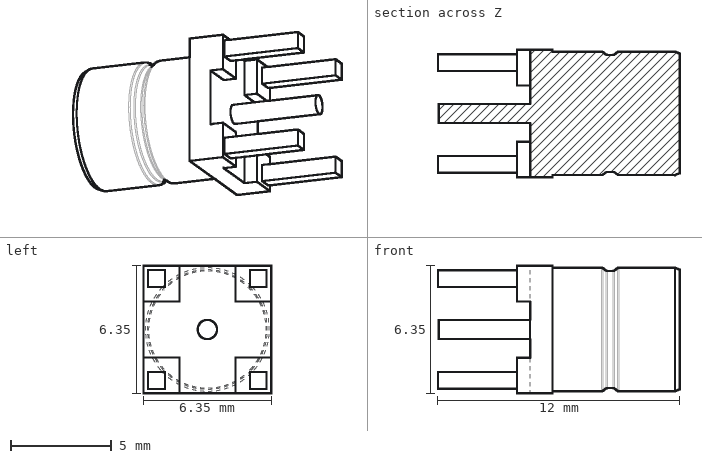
import cadquery as cq
import math

base_side = 6.35
base_thickness = 1.77
foot_side = 1.785
foot_height = 0.66

pin_length = 3.92
pin_side = 0.84
pin_edge_inset = 0.23

contact_diameter = 0.96
contact_setback = 0.04

overall_length = 12.01
barrel_diameter = 6.15
end_chamfer_length = 0.24
end_chamfer_drop = 0.10

groove_center_from_end = 3.455
groove_floor_width = 0.28
groove_depth = 0.16
groove_wall_angle = 37
groove_blend_radius = 0.127

foot_face_x = pin_length
recess_face_x = foot_face_x + foot_height
barrel_start_x = foot_face_x + base_thickness
groove_center_x = overall_length - groove_center_from_end
barrel_radius = barrel_diameter / 2

foot_offset = (base_side - foot_side) / 2
pin_offset = base_side / 2 - pin_edge_inset - pin_side / 2


def square_bar(side, start_x, end_x, y=0, z=0):
    """Square bar along X, centred on (y, z)."""
    length = end_x - start_x
    return cq.Workplane("XY").box(length, side, side).translate((start_x + length / 2, y, z))


def make_base():
    base = square_bar(base_side, recess_face_x, barrel_start_x)
    for y_side in (-1, 1):
        for z_side in (-1, 1):
            foot_y = y_side * foot_offset
            foot_z = z_side * foot_offset
            pin_y = y_side * pin_offset
            pin_z = z_side * pin_offset
            foot = square_bar(foot_side, foot_face_x, recess_face_x, foot_y, foot_z)
            pin = square_bar(pin_side, 0, foot_face_x, pin_y, pin_z)
            base = base.union(foot).union(pin)
    return base


def make_contact():
    length = recess_face_x - contact_setback
    contact = cq.Workplane("YZ").circle(contact_diameter / 2).extrude(length)
    return contact.translate((contact_setback, 0, 0))


def make_groove_cutter():
    """Ring that cuts the snap groove; each wall rolls over in an arc at the rim and at the floor."""
    angle = math.radians(groove_wall_angle)
    blend_length = groove_blend_radius * math.sin(angle)
    blend_drop = groove_blend_radius * (1 - math.cos(angle))
    mid_length = groove_blend_radius * math.sin(angle / 2)
    mid_drop = groove_blend_radius * (1 - math.cos(angle / 2))
    wall_length = (groove_depth - 2 * blend_drop) / math.tan(angle)
    floor_half = groove_floor_width / 2
    rim_half = floor_half + 2 * blend_length + wall_length
    floor_radius = barrel_radius - groove_depth
    cutter_radius = barrel_radius + groove_depth

    def rim(side, along, drop):
        return (groove_center_x + side * (rim_half - along), barrel_radius - drop)

    def floor(side, along, rise):
        return (groove_center_x + side * (floor_half + along), floor_radius + rise)

    profile = (
        cq.Workplane("XY")
        .moveTo(groove_center_x - rim_half, cutter_radius)
        .lineTo(*rim(-1, 0, 0))
        .threePointArc(rim(-1, mid_length, mid_drop), rim(-1, blend_length, blend_drop))
        .lineTo(*floor(-1, blend_length, blend_drop))
        .threePointArc(floor(-1, mid_length, mid_drop), floor(-1, 0, 0))
        .lineTo(*floor(1, 0, 0))
        .threePointArc(floor(1, mid_length, mid_drop), floor(1, blend_length, blend_drop))
        .lineTo(*rim(1, blend_length, blend_drop))
        .threePointArc(rim(1, mid_length, mid_drop), rim(1, 0, 0))
        .lineTo(groove_center_x + rim_half, cutter_radius)
        .close()
    )
    return profile.revolve(360, (0, 0, 0), (1, 0, 0))


def make_barrel():
    length = overall_length - barrel_start_x
    barrel = (
        cq.Workplane("YZ", origin=(barrel_start_x, 0, 0))
        .circle(barrel_radius)
        .extrude(length)
        .faces(">X")
        .chamfer(end_chamfer_length, end_chamfer_drop)
    )
    return barrel.cut(make_groove_cutter())


result = make_base().union(make_contact()).union(make_barrel())